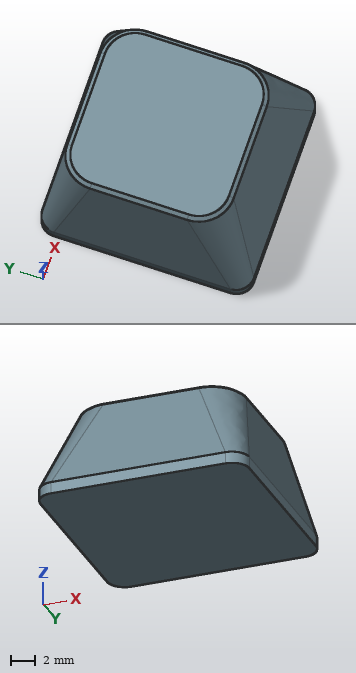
import cadquery as cq

base_side = 18.0
base_corner_radius = 1.5
total_height = 9.0
skirt_height = 1.0
rim_side = 14.15
rim_corner_radius = 2.95
bevel_width = 0.4
bevel_height = 0.27
top_offset = 0.95

rim_height = total_height - bevel_height
top_side = rim_side - 2 * bevel_width
top_corner_radius = rim_corner_radius - bevel_width


def rounded_square(side, radius, y_center, z):
    """Closed rounded-square outline, parallel to the XY plane."""
    return (
        cq.Sketch()
        .rect(side, side)
        .vertices()
        .fillet(radius)
        .moved(cq.Location(cq.Vector(0, y_center, z)))
    )


def ruled_body(lower, upper):
    """Solid with straight-ruled walls between two outlines."""
    return cq.Workplane("XY").placeSketch(lower, upper).loft(ruled=True)


base = rounded_square(base_side, base_corner_radius, 0, skirt_height)
rim = rounded_square(rim_side, rim_corner_radius, top_offset, rim_height)
top = rounded_square(top_side, top_corner_radius, top_offset, total_height)

skirt = cq.Workplane("XY").placeSketch(
    rounded_square(base_side, base_corner_radius, 0, 0)
).extrude(skirt_height)
walls = ruled_body(base, rim)
bevel = ruled_body(rim, top)

result = skirt.union(walls).union(bevel)